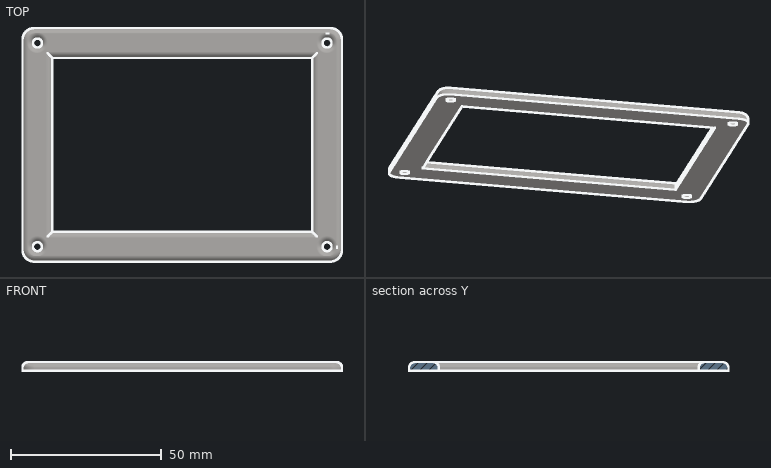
import cadquery as cq
import math

length = 106.0
width = 77.5
thickness = 3.0
corner_radius = 4.0

border = 10.0
edge_radius = 2.0
window_length = length - 2 * border
window_width = width - 2 * border

hole_inset = 5.0
hole_diameter = 2.9


def make_outer_plate():
    """Plate with rounded corners and a rounded upper outer edge."""
    plate = cq.Workplane("XY").rect(length, width).extrude(thickness)
    plate = plate.edges("|Z").fillet(corner_radius)
    return plate.faces(">Z").edges().fillet(edge_radius)


def cut_window(plate):
    """Cut the sharp-cornered window and round over its upper edge."""
    window = cq.Workplane("XY").rect(window_length, window_width).extrude(thickness)
    frame = plate.cut(window)
    half_length = (window_length + edge_radius) / 2
    half_width = (window_width + edge_radius) / 2
    window_top = cq.selectors.BoxSelector(
        (-half_length, -half_width, thickness - edge_radius),
        (half_length, half_width, thickness + edge_radius),
    )
    return frame.edges("#Z").edges(window_top).fillet(edge_radius)


def make_hole_cutter():
    """Round shaft that flares along a quarter circle to meet the top face tangentially."""
    hole_radius = hole_diameter / 2
    mouth_radius = hole_radius + edge_radius
    flare_start = thickness - edge_radius
    arc_offset = edge_radius * math.sqrt(0.5)
    return (
        cq.Workplane("XZ")
        .lineTo(hole_radius, 0)
        .lineTo(hole_radius, flare_start)
        .threePointArc((mouth_radius - arc_offset, flare_start + arc_offset), (mouth_radius, thickness))
        .lineTo(0, thickness)
        .close()
        .revolve(360, (0, 0), (0, 1))
    )


def cut_screw_holes(frame):
    """Cut one flared through hole near each corner."""
    cutter = make_hole_cutter()
    x_offset = length / 2 - hole_inset
    y_offset = width / 2 - hole_inset
    for x in (-x_offset, x_offset):
        for y in (-y_offset, y_offset):
            frame = frame.cut(cutter.translate((x, y, 0)))
    return frame


result = cut_screw_holes(cut_window(make_outer_plate()))